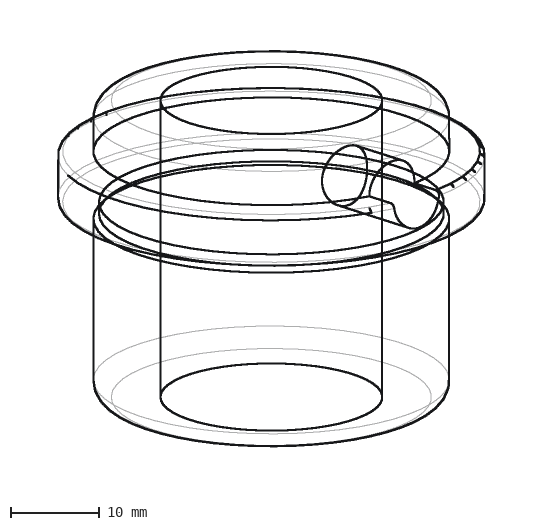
import cadquery as cq

height = 35.0
body_radius = 20.0
bore_radius = 12.5
body_edge_fillet = 2.0

flange_radius = 24.0
flange_bottom = 23.0
flange_top = 29.0
flange_edge_fillet = 0.55

groove_depth = 0.6
groove_width = 1.35

radial_hole_diameter = 7.0


def make_body():
    """Plain cylinder with rounded top and bottom edges."""
    body = cq.Workplane("XY").circle(body_radius).extrude(height)
    return body.edges().fillet(body_edge_fillet)


def make_relief_groove():
    """Ring under the flange whose lower wall slopes outward at 45 degrees."""
    floor_radius = body_radius - groove_depth
    floor_bottom = flange_bottom - groove_width
    return (
        cq.Workplane("XZ")
        .moveTo(floor_radius, flange_bottom)
        .lineTo(floor_radius, floor_bottom)
        .lineTo(body_radius, floor_bottom - groove_depth)
        .lineTo(body_radius, flange_bottom)
        .close()
        .revolve(360, (0, 0), (0, 1))
    )


def make_flange():
    """Collar with rounded rims."""
    flange = (
        cq.Workplane("XY")
        .workplane(offset=flange_bottom)
        .circle(flange_radius)
        .extrude(flange_top - flange_bottom)
    )
    return flange.edges().fillet(flange_edge_fillet)


def make_radial_hole():
    """Cross hole on the +X side, centred on the flange's top face and opening into the bore."""
    return (
        cq.Workplane("YZ")
        .center(0, flange_top)
        .circle(radial_hole_diameter / 2)
        .extrude(flange_radius)
    )


bore = cq.Workplane("XY").circle(bore_radius).extrude(height)

result = (
    make_body()
    .cut(make_relief_groove())
    .union(make_flange())
    .cut(bore)
    .cut(make_radial_hole())
)